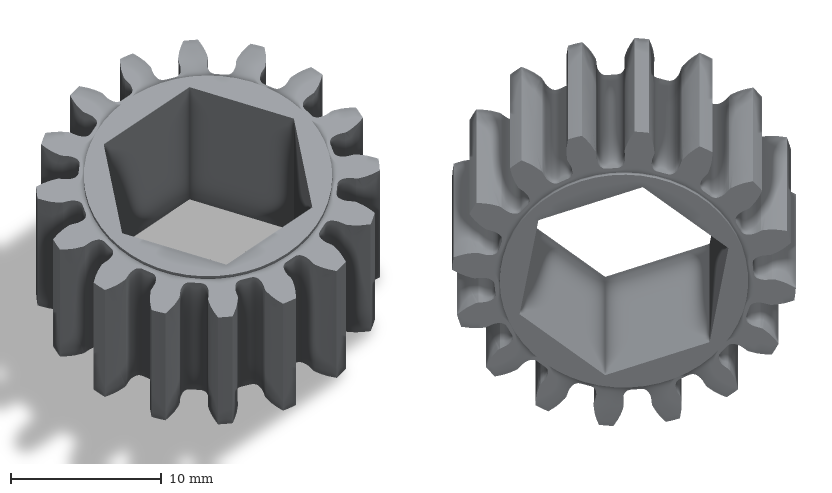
import cadquery as cq
import math

tooth_count = 16
module = 1.27
pressure_angle = math.radians(14.5)
pitch_radius = tooth_count * module / 2
base_radius = pitch_radius * math.cos(pressure_angle)
tip_radius = pitch_radius + module
tip_gap_half_angle = math.radians(8.82)
flank_point_count = 6

gap_floor = 8.6
floor_arc_radius = 0.5
wall_arc_radius = 1.2
root_split_angle = math.radians(60)
cutter_overshoot = 1.0

total_height = 12.65
hub_step = 0.3
gear_width = total_height - 2 * hub_step
hub_diameter = 16.5
hex_across_flats = 12.8
hex_corner_diameter = hex_across_flats / math.cos(math.pi / 6)


def involute_angle(radius):
    """Polar angle swept by the involute between the base circle and the given radius."""
    roll = math.sqrt(max((radius / base_radius) ** 2 - 1, 0))
    return roll - math.atan(roll)


def flank_point(radius):
    """Point on the right-hand flank of the gap centred on +Y."""
    angle = tip_gap_half_angle - involute_angle(tip_radius) + involute_angle(radius)
    return (radius * math.sin(angle), radius * math.cos(angle))


def mirrored(point):
    """Reflection of a point across the Y axis."""
    return (-point[0], point[1])


def polar_point(center, radius, angle):
    """Point on an arc, with the angle measured from straight down towards +X."""
    return (center[0] + radius * math.sin(angle), center[1] - radius * math.cos(angle))


def make_gap_cutter():
    """Gap centred on +Y: flat floor, two-arc root corners, straight walls, involute flanks."""
    radius_step = (tip_radius - base_radius) / (flank_point_count - 1)
    flank = [flank_point(base_radius + i * radius_step) for i in range(flank_point_count)]
    left_flank = [mirrored(point) for point in reversed(flank)]
    outer_corner = (flank[-1][0], tip_radius + cutter_overshoot)

    end_angle = tip_gap_half_angle + math.acos(base_radius / tip_radius)
    wall_direction = (0, 1)
    tip_direction = (math.sin(end_angle), math.cos(end_angle))
    left_wall_direction = (0, -1)
    left_tip_direction = (tip_direction[0], -tip_direction[1])

    floor_center_y = gap_floor + floor_arc_radius
    wall_center = (
        flank[0][0] - wall_arc_radius,
        floor_center_y + (wall_arc_radius - floor_arc_radius) * math.cos(root_split_angle),
    )
    floor_center = (
        wall_center[0] + (wall_arc_radius - floor_arc_radius) * math.sin(root_split_angle),
        floor_center_y,
    )
    floor_end = polar_point(floor_center, floor_arc_radius, 0)
    floor_arc_mid = polar_point(floor_center, floor_arc_radius, root_split_angle / 2)
    arc_joint = polar_point(floor_center, floor_arc_radius, root_split_angle)
    wall_arc_mid = polar_point(wall_center, wall_arc_radius, (root_split_angle + math.pi / 2) / 2)
    wall_start = polar_point(wall_center, wall_arc_radius, math.pi / 2)

    return (
        cq.Workplane("XY")
        .workplane(offset=-gear_width / 2)
        .moveTo(*mirrored(floor_end))
        .lineTo(*floor_end)
        .threePointArc(floor_arc_mid, arc_joint)
        .threePointArc(wall_arc_mid, wall_start)
        .lineTo(*flank[0])
        .spline(flank[1:], tangents=[wall_direction, tip_direction], includeCurrent=True)
        .lineTo(*outer_corner)
        .lineTo(*mirrored(outer_corner))
        .lineTo(*left_flank[0])
        .spline(left_flank[1:], tangents=[left_tip_direction, left_wall_direction], includeCurrent=True)
        .lineTo(*mirrored(wall_start))
        .threePointArc(mirrored(wall_arc_mid), mirrored(arc_joint))
        .threePointArc(mirrored(floor_arc_mid), mirrored(floor_end))
        .close()
        .extrude(gear_width)
    )


def make_toothed_ring():
    ring = cq.Workplane("XY").circle(tip_radius).extrude(gear_width / 2, both=True)
    cutter = make_gap_cutter()
    for i in range(tooth_count):
        ring = ring.cut(cutter.rotate((0, 0, 0), (0, 0, 1), i * 360 / tooth_count))
    return ring


def make_hub():
    return cq.Workplane("XY").circle(hub_diameter / 2).extrude(total_height / 2, both=True)


def make_hex_bore():
    """Through bore with two corners on the Y axis."""
    return (
        cq.Workplane("XY")
        .polygon(6, hex_corner_diameter)
        .extrude(total_height / 2, both=True)
        .rotate((0, 0, 0), (0, 0, 1), 90)
    )


result = make_toothed_ring().union(make_hub()).cut(make_hex_bore())